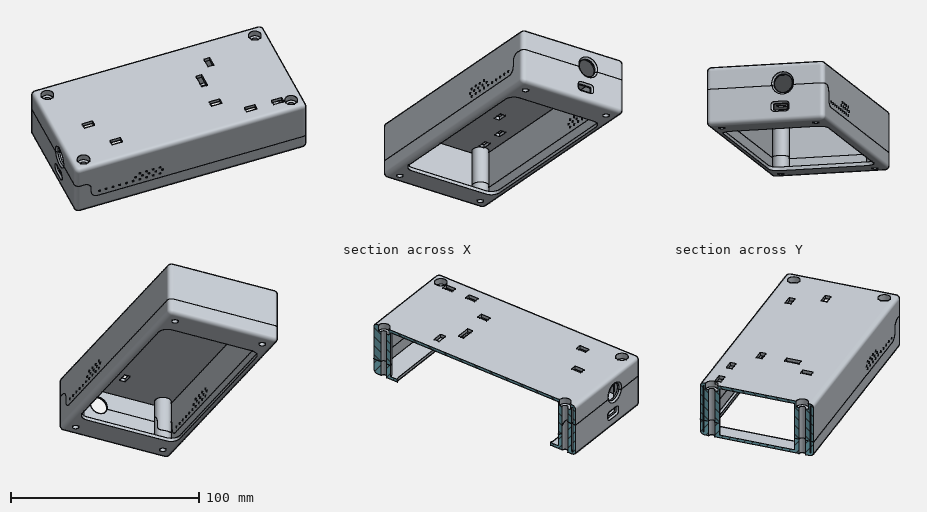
import cadquery as cq

WIDTH = 65.0
LENGTH = 132.5
HEIGHT = 32.0
EDGE_RADIUS = 2.5
WALL = 2.0

SEAM_LOW = 9.1
SEAM_HIGH = 19.9
SEAM_STEP_Y = -LENGTH / 2 + 8.9
SEAM_RADIUS = 4.0

WINDOW_WIDTH = 57.8
WINDOW_FRONT = -50.1
WINDOW_REAR = 51.3
WINDOW_RADIUS = 5.3

POST_X = 25.8
POST_Y = 59.4
POST_PATTERN_Y = 0.3
POST_DIAMETER = 9.0
SCREW_DIAMETER = 3.5
HEAD_DIAMETER = 6.8
HEAD_DEPTH = 3.6

SLOT_WIDTH = 3.3
SLOT_LENGTH = 6.0
LONG_SLOT_LENGTH = 8.3
SLOTS_ALONG_Y = [(23.8, 52.7), (23.5, 37.5), (12.6, 21.7), (19.6, -37.9), (2.6, -47.0)]
SLOT_ALONG_X = (-16.5, 29.5)
LONG_SLOT_ALONG_X = (-5.2, 21.0)

BEVEL = 1.0
JACK_X = 9.5
JACK_Z = 21.1
JACK_DIAMETER = 10.1
PORT_X = 8.1
PORT_Z = 8.5
PORT_WIDTH = 8.0
PORT_HEIGHT = 3.5
PORT_RADIUS = 1.0

VENT_DIAMETER = 1.0
VENT_PITCH = 3.8
VENT_ROWS = [(-18.0, 16.7, 4), (-16.5, 14.6, 5), (-18.0, 12.2, 10)]


def post_points(workplane):
    pattern = workplane.center(0, POST_PATTERN_Y)
    return pattern.rect(2 * POST_X, 2 * POST_Y, forConstruction=True).vertices()


def inset_box(margin):
    """Box smaller than the outer size by margin on every side."""
    centre = cq.Workplane("XY", origin=(0, 0, HEIGHT / 2))
    return centre.box(WIDTH - 2 * margin, LENGTH - 2 * margin, HEIGHT - 2 * margin)


def hollow_case():
    """Closed shell with a solid post from floor to top in each corner."""
    outer = inset_box(0).edges().fillet(EDGE_RADIUS)
    posts = post_points(cq.Workplane("XY")).circle(POST_DIAMETER / 2).extrude(HEIGHT)
    cavity = inset_box(WALL).cut(posts)
    return outer.cut(cavity)


def below_seam():
    """Block filling everything under the parting line, with its S-shaped step."""
    front = -LENGTH
    rear = LENGTH
    r = SEAM_RADIUS
    step = SEAM_STEP_Y
    return (
        cq.Workplane("YZ", origin=(-WIDTH, 0, 0))
        .moveTo(front, -HEIGHT)
        .lineTo(front, SEAM_HIGH)
        .lineTo(step - r, SEAM_HIGH)
        .radiusArc((step, SEAM_HIGH - r), r)
        .lineTo(step, SEAM_LOW + r)
        .radiusArc((step + r, SEAM_LOW), -r)
        .lineTo(rear, SEAM_LOW)
        .lineTo(rear, -HEIGHT)
        .close()
        .extrude(2 * WIDTH)
    )


def front_plane(x, z):
    """Plane on the outside of the front wall, its normal pointing into the case."""
    return cq.Plane(origin=(x, -LENGTH / 2, z), xDir=(1, 0, 0), normal=(0, 1, 0))


def jack_hole():
    hole = cq.Workplane(front_plane(JACK_X, JACK_Z)).circle(JACK_DIAMETER / 2).extrude(WALL)
    bevel = cq.Workplane(front_plane(JACK_X, JACK_Z)).circle(JACK_DIAMETER / 2 + BEVEL)
    return hole.union(bevel.extrude(BEVEL, taper=45))


def rounded_port(margin, depth, taper):
    width = PORT_WIDTH + 2 * margin
    height = PORT_HEIGHT + 2 * margin
    outline = cq.Sketch().rect(width, height).vertices().fillet(PORT_RADIUS + margin)
    return cq.Workplane(front_plane(PORT_X, PORT_Z)).placeSketch(outline).extrude(depth, taper=taper)


def port_hole():
    return rounded_port(0, WALL, 0).union(rounded_port(BEVEL, BEVEL, 45))


def vent_holes():
    centres = [
        (first_y - i * VENT_PITCH, z)
        for first_y, z, count in VENT_ROWS
        for i in range(count)
    ]
    return (
        cq.Workplane("YZ", origin=(-WIDTH / 2, 0, 0))
        .pushPoints(centres)
        .circle(VENT_DIAMETER / 2)
        .extrude(WIDTH)
    )


def floor_window():
    middle_y = (WINDOW_FRONT + WINDOW_REAR) / 2
    return (
        cq.Workplane("XY")
        .center(0, middle_y)
        .rect(WINDOW_WIDTH, WINDOW_REAR - WINDOW_FRONT)
        .extrude(WALL)
        .edges("|Z")
        .fillet(WINDOW_RADIUS)
    )


def top_slots():
    top = cq.Workplane("XY", origin=(0, 0, HEIGHT))
    slots = top.pushPoints(SLOTS_ALONG_Y).rect(SLOT_WIDTH, SLOT_LENGTH).extrude(-WALL)
    slots = slots.union(top.center(*SLOT_ALONG_X).rect(SLOT_LENGTH, SLOT_WIDTH).extrude(-WALL))
    return slots.union(
        top.center(*LONG_SLOT_ALONG_X).rect(LONG_SLOT_LENGTH, SLOT_WIDTH).extrude(-WALL)
    )


def screw_holes():
    return post_points(cq.Workplane("XY")).circle(SCREW_DIAMETER / 2).extrude(HEIGHT)


def head_recesses():
    """Counterbores for the screw heads, sunk into the posts from the top face."""
    top = cq.Workplane("XY", origin=(0, 0, HEIGHT))
    return post_points(top).circle(HEAD_DIAMETER / 2).extrude(-HEAD_DEPTH)


def make_base(whole_case):
    """Part of the case under the parting line."""
    return whole_case.intersect(below_seam()).cut(floor_window())


def make_lid(whole_case):
    """Part of the case above the parting line."""
    return whole_case.cut(below_seam()).cut(head_recesses()).cut(top_slots())


case = hollow_case().cut(jack_hole()).cut(port_hole()).cut(vent_holes())
case = case.cut(screw_holes())
base = make_base(case)
lid = make_lid(case)

result = cq.Compound.makeCompound([base.solids().val(), lid.solids().val()])